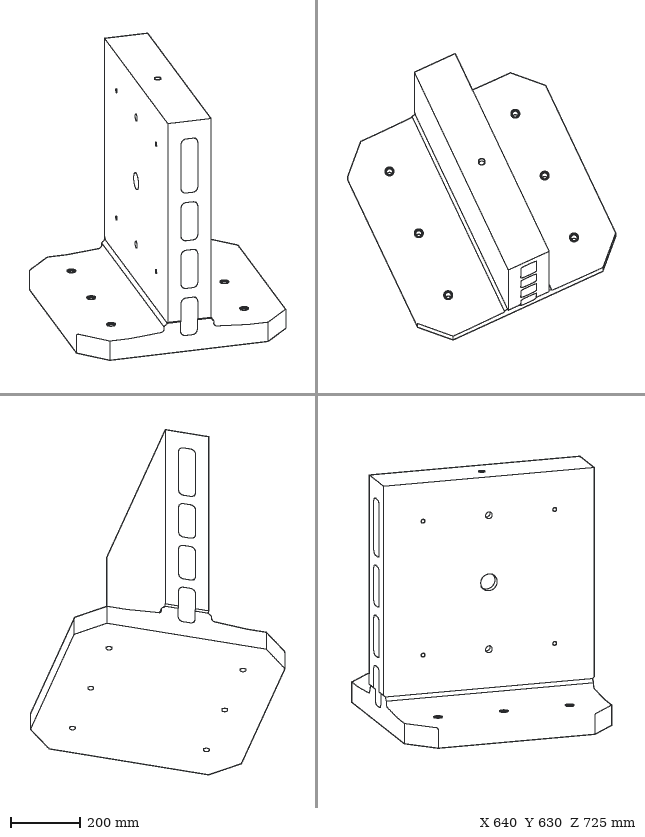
import cadquery as cq
import math

base_size = 630.0
base_height = 61.0
corner_chamfer = 77.0
base_edge_radius = 5.0

wall_width = 640.0
wall_thickness = 130.0
total_height = 725.0
wall_bottom_z = 95.0
wall_end_chamfer = 5.0

foot_step = 10.0
foot_fillet = 10.0
foot_half = wall_thickness / 2 + foot_step
foot_side_top_z = wall_bottom_z - foot_step
slope_half = 180.0
slope_rise = 8.0
slope_top_z = base_height + slope_rise

slot_width = 50.0
slot_corner_radius = 15.0
slot_spans = [(50.0, 170.0), (200.0, 320.0), (350.0, 470.0), (500.0, 670.0)]

hole_pitch = 200.0
pattern_center_z = 410.0
center_bore_diameter = 50.0
center_bore_depth = 20.0
pin_hole_diameter = 20.0
pin_hole_depth = 20.0
thread_hole_diameter = 10.2
thread_hole_mouth = 12.0
thread_hole_depth = 25.0

bolt_diameter = 17.0
counterbore_diameter = 22.0
counterbore_rim_diameter = 26.0
counterbore_depth = 5.0

drill_point_angle = 118.0

lift_hole_diameter = 17.5
lift_hole_mouth = 20.0
lift_hole_depth = 36.0


def make_base():
    """Slab with cut corners and rounded upper end edges."""
    slab = cq.Workplane("XY").box(base_size, base_size, base_height, centered=(True, True, False))
    slab = slab.edges("|Z").chamfer(corner_chamfer)
    end_edges = slab.faces(">Y or <Y").edges(">Z")
    return end_edges.fillet(base_edge_radius)


def make_foot():
    """Sloped and stepped prism between the slab and the wall."""
    right_side = [
        (slope_half, base_height),
        (foot_half, slope_top_z),
        (foot_half, foot_side_top_z),
        (wall_thickness / 2, wall_bottom_z),
    ]
    left_side = [(-y, z) for y, z in reversed(right_side)]
    profile = cq.Workplane("YZ").polyline(right_side + left_side).close()
    foot = profile.extrude(base_size / 2, both=True)
    margin = 1.0
    root_box = cq.selectors.BoxSelector(
        (-base_size, -foot_half - margin, slope_top_z - margin),
        (base_size, foot_half + margin, slope_top_z + margin),
    )
    return foot.edges(root_box).fillet(foot_fillet)


def make_wall():
    """Upright wall with its overhanging lower end edges chamfered."""
    wall_height = total_height - wall_bottom_z
    wall = cq.Workplane("XY").workplane(offset=wall_bottom_z)
    wall = wall.box(wall_width, wall_thickness, wall_height, centered=(True, True, False))
    return wall.faces("<Z").edges("|Y").chamfer(wall_end_chamfer)


def make_slot(bottom_z, top_z):
    """Rounded slot running the full width of the wall."""
    slot = cq.Workplane("XY").workplane(offset=bottom_z)
    slot = slot.box(wall_width, slot_width, top_z - bottom_z, centered=(True, True, False))
    return slot.edges("|X").fillet(slot_corner_radius)


def make_flat_hole(x, z, diameter, depth):
    """Flat-bottomed blind hole in the -Y wall face."""
    plane = cq.Plane(origin=(x, -wall_thickness / 2, z), xDir=(1, 0, 0), normal=(0, 1, 0))
    return cq.Workplane(plane).circle(diameter / 2).extrude(depth)


def make_drilled_hole(diameter, mouth_diameter, depth):
    """Blind hole down from the origin, with a 45 degree mouth chamfer and a drill point."""
    radius = diameter / 2
    mouth_radius = mouth_diameter / 2
    tip_length = radius / math.tan(math.radians(drill_point_angle / 2))
    section = [
        (0, 0),
        (mouth_radius, 0),
        (radius, radius - mouth_radius),
        (radius, -depth),
        (0, -depth - tip_length),
    ]
    return cq.Workplane("XZ").polyline(section).close().revolve(360, (0, 0, 0), (0, 1, 0))


def make_thread_hole(x, z):
    """Drilled hole turned to enter the -Y wall face."""
    hole = make_drilled_hole(thread_hole_diameter, thread_hole_mouth, thread_hole_depth)
    hole = hole.rotate((0, 0, 0), (1, 0, 0), 90)
    return hole.translate((x, -wall_thickness / 2, z))


def make_bolt_hole(x, y):
    """Through hole with a shallow counterbore whose rim is chamfered at 45 degrees."""
    radius = bolt_diameter / 2
    bore_radius = counterbore_diameter / 2
    rim_radius = counterbore_rim_diameter / 2
    floor_z = base_height - counterbore_depth
    chamfer_z = base_height - (rim_radius - bore_radius)
    section = [
        (0, 0),
        (radius, 0),
        (radius, floor_z),
        (bore_radius, floor_z),
        (bore_radius, chamfer_z),
        (rim_radius, base_height),
        (0, base_height),
    ]
    hole = cq.Workplane("XZ").polyline(section).close().revolve(360, (0, 0, 0), (0, 1, 0))
    return hole.translate((x, y, 0))


def make_lift_hole():
    """Drilled hole in the middle of the wall top."""
    hole = make_drilled_hole(lift_hole_diameter, lift_hole_mouth, lift_hole_depth)
    return hole.translate((0, 0, total_height))


result = make_base().union(make_foot()).union(make_wall())

for bottom, top in slot_spans:
    result = result.cut(make_slot(bottom, top))

result = result.cut(make_flat_hole(0, pattern_center_z, center_bore_diameter, center_bore_depth))
for row in (-hole_pitch, hole_pitch):
    row_z = pattern_center_z + row
    result = result.cut(make_flat_hole(0, row_z, pin_hole_diameter, pin_hole_depth))
    for column in (-hole_pitch, hole_pitch):
        result = result.cut(make_thread_hole(column, row_z))
    for column in (-hole_pitch, 0, hole_pitch):
        result = result.cut(make_bolt_hole(column, row))

result = result.cut(make_lift_hole())